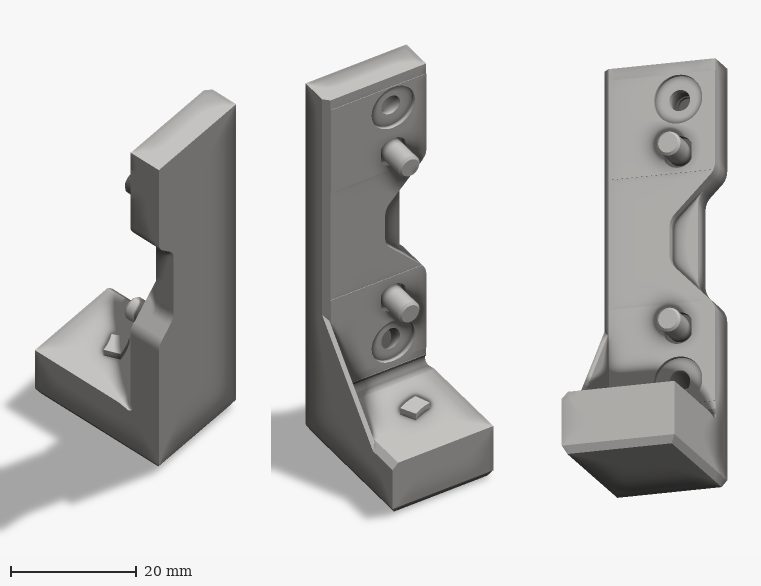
import cadquery as cq
import math

length_x = 26.0
width_y = 19.0
height_z = 70.0

base_height = 10.15
post_thickness = 5.95
post_face_x = length_x - post_thickness
foot_chamfer_height = 1.25
foot_chamfer_inset = 0.7
edge_chamfer = 1.05

relief_radius = 1.0
relief_depth = 0.4
relief_base_run = 2.45
relief_wall_rise = 1.3

rib_thickness = 0.85
rib_foot_x = 6.8
rib_slope = math.radians(49)

pad_relief = 0.1
upper_pad_bottom = 51.45
upper_pad_top = 68.05
lower_pad_bottom = 12.8
lower_pad_top = 29.75

notch_centre_z = 40.25
notch_mouth_half = 11.3
notch_through_depth = 3.65
notch_front_depth = 7.7
notch_front_thickness = 2.25
notch_fillet = 3.0

fitting_y = 6.2
pin_spacing = 29.4
pin_heights = [notch_centre_z - pin_spacing / 2, notch_centre_z + pin_spacing / 2]
pin_diameter = 4.0
pin_tip_diameter = 3.2
pin_tip_length = 0.4
pin_projection = 5.1
pin_socket_depth = 4.2
recess_diameter = 5.25
recess_width = 4.55
recess_depth = 1.2

screw_spacing = 47.05
upper_screw_z = notch_centre_z + screw_spacing / 2
lower_screw_z = notch_centre_z - screw_spacing / 2
spot_diameter = 8.1
spot_depth = 0.8
screw_diameter = 3.5
upper_screw_depth = 3.5
pilot_diameter = 3.15
pilot_depth = 4.2
lower_screw_depth = 3.15
lower_screw_tilt = 29.0

tab_height = 1.3
tab_inner_corners = [(7.85, 9.65), (9.1, 6.2)]
tab_outer_corners = [(10.4, 11.0), (11.75, 7.3)]
tab_arc_radius = 11.2


def post_face_plane(y, z):
    """Plane on the post face at (y, z), with its normal pointing into the post."""
    return cq.Plane(origin=(post_face_x, y, z), xDir=(0, 1, 0), normal=(1, 0, 0))


def make_body_blank():
    """L-shaped profile with the relieved inner corner, chamfered all around the foot."""
    relief_floor = base_height - relief_depth
    relief_wall = post_face_x + relief_depth
    arc_centre = (relief_wall - relief_radius, relief_floor + relief_radius)
    arc_offset = relief_radius * math.sqrt(0.5)
    block = (
        cq.Workplane("XZ")
        .moveTo(0, 0)
        .lineTo(length_x, 0)
        .lineTo(length_x, height_z)
        .lineTo(post_face_x, height_z)
        .lineTo(post_face_x, base_height + relief_wall_rise)
        .lineTo(relief_wall, arc_centre[1])
        .threePointArc((arc_centre[0] + arc_offset, arc_centre[1] - arc_offset), (arc_centre[0], relief_floor))
        .lineTo(post_face_x - relief_base_run, base_height)
        .lineTo(0, base_height)
        .close()
        .extrude(-width_y)
    )
    return block.faces("<Z").chamfer(foot_chamfer_inset, foot_chamfer_height)


def make_edge_chamfer_cutter():
    """Bevels along the +Y edges of the base top and the post face."""
    leg = edge_chamfer
    along_base = (
        cq.Workplane("YZ")
        .polyline([(width_y, base_height), (width_y - leg, base_height), (width_y, base_height - leg)])
        .close()
        .extrude(post_face_x + leg)
    )
    along_post = (
        cq.Workplane("XY")
        .workplane(offset=base_height - leg)
        .polyline([(post_face_x, width_y), (post_face_x, width_y - leg), (post_face_x + leg, width_y)])
        .close()
        .extrude(height_z)
    )
    return along_base.union(along_post)


def make_rib():
    """Triangular gusset along the +Y side, running under the two bevels."""
    leg = edge_chamfer
    slope = math.tan(rib_slope)
    foot_z = base_height - leg
    back_x = post_face_x + leg
    start_x = rib_foot_x - leg / slope
    return (
        cq.Workplane("XZ", origin=(0, width_y - rib_thickness, 0))
        .polyline([(start_x, foot_z), (back_x, foot_z), (back_x, foot_z + (back_x - start_x) * slope)])
        .close()
        .extrude(-rib_thickness)
    )


def make_notch(floor_depth, start_x, thickness):
    """45-degree notch with rounded floor corners and rounded mouth."""
    floor_half = notch_mouth_half - floor_depth
    tangent = notch_fillet * math.tan(math.pi / 8)
    step = tangent * math.sqrt(0.5)
    mid_in = notch_fillet * (1 - math.cos(math.pi / 8))
    mid_along = notch_fillet * math.sin(math.pi / 8)
    mouth_start = (0, notch_mouth_half + tangent)
    mouth_mid = (mid_in, mouth_start[1] - mid_along)
    mouth_end = (step, notch_mouth_half - step)
    floor_start = (floor_depth - step, floor_half + step)
    floor_end = (floor_depth, floor_half - tangent)
    floor_mid = (floor_depth - mid_in, floor_end[1] + mid_along)

    def low(point):
        return (point[0], -point[1])

    return (
        cq.Workplane(cq.Plane(origin=(start_x, 0, notch_centre_z), xDir=(0, 1, 0), normal=(1, 0, 0)))
        .moveTo(*low(mouth_start))
        .threePointArc(low(mouth_mid), low(mouth_end))
        .lineTo(*low(floor_start))
        .threePointArc(low(floor_mid), low(floor_end))
        .lineTo(*floor_end)
        .threePointArc(floor_mid, floor_start)
        .lineTo(*mouth_end)
        .threePointArc(mouth_mid, mouth_start)
        .close()
        .extrude(thickness)
    )


def make_pad_relief(bottom, top):
    """Thin cut that lowers the post face between two heights."""
    return cq.Workplane("XY").box(pad_relief, width_y, top - bottom, centered=False).translate(
        (post_face_x, 0, bottom)
    )


def make_pin_recess(z):
    """Round recess with two flat sides, and the pin socket below it."""
    plane = post_face_plane(fitting_y, z)
    disc = cq.Workplane(plane).circle(recess_diameter / 2).extrude(recess_depth)
    flats = cq.Workplane(plane).rect(recess_width, recess_diameter).extrude(recess_depth)
    socket = cq.Workplane(plane).circle(pin_diameter / 2).extrude(pin_socket_depth)
    return disc.intersect(flats).union(socket)


def make_screw_hole(z, depth, tilt):
    """Shallow spot face and a flat-bottomed hole, tilted downwards by the given angle."""
    plane = post_face_plane(fitting_y, z)
    floor_x = post_face_x + spot_depth
    spot = cq.Workplane(plane).circle(spot_diameter / 2).extrude(spot_depth)
    hole = (
        cq.Workplane(plane)
        .workplane(offset=spot_depth - screw_diameter)
        .circle(screw_diameter / 2)
        .extrude(screw_diameter + depth)
        .rotate((floor_x, fitting_y, z), (floor_x, fitting_y + 0.7, z), tilt)
    )
    return spot.union(hole)


def make_pilot_hole(z):
    """Narrower end of a straight screw hole, measured from the spot face."""
    plane = post_face_plane(fitting_y, z)
    return cq.Workplane(plane).workplane(offset=spot_depth).circle(pilot_diameter / 2).extrude(pilot_depth)


def bulged_midpoint(start, end):
    """Middle point of a tab arc that bulges towards +X."""
    chord_x = end[0] - start[0]
    chord_y = end[1] - start[1]
    chord = math.hypot(chord_x, chord_y)
    bulge = tab_arc_radius - math.sqrt(tab_arc_radius**2 - chord**2 / 4)
    return (
        (start[0] + end[0]) / 2 - bulge * chord_y / chord,
        (start[1] + end[1]) / 2 + bulge * chord_x / chord,
    )


def make_tab():
    """Low curved tab standing on the base."""
    inner_top, inner_bottom = tab_inner_corners
    outer_top, outer_bottom = tab_outer_corners
    return (
        cq.Workplane("XY")
        .workplane(offset=base_height)
        .moveTo(*inner_top)
        .lineTo(*outer_top)
        .threePointArc(bulged_midpoint(outer_top, outer_bottom), outer_bottom)
        .lineTo(*inner_bottom)
        .threePointArc(bulged_midpoint(inner_top, inner_bottom), inner_top)
        .close()
        .extrude(tab_height)
    )


def make_bracket():
    """Complete bracket: base, post, rib and tab with every cut applied."""
    bracket = make_body_blank().cut(make_edge_chamfer_cutter()).union(make_rib()).union(make_tab())
    bracket = bracket.cut(make_notch(notch_through_depth, post_face_x, post_thickness))
    bracket = bracket.cut(make_notch(notch_front_depth, post_face_x, notch_front_thickness))
    bracket = bracket.cut(make_pad_relief(base_height + relief_wall_rise, lower_pad_bottom))
    bracket = bracket.cut(make_pad_relief(lower_pad_top, upper_pad_bottom))
    bracket = bracket.cut(make_pad_relief(upper_pad_top, height_z))
    for z in pin_heights:
        bracket = bracket.cut(make_pin_recess(z))
    bracket = bracket.cut(make_screw_hole(upper_screw_z, upper_screw_depth, 0))
    bracket = bracket.cut(make_pilot_hole(upper_screw_z))
    return bracket.cut(make_screw_hole(lower_screw_z, lower_screw_depth, lower_screw_tilt))


def make_pin(z):
    """Dowel pin with a chamfered tip, seated in its socket."""
    tip_chamfer = (pin_diameter - pin_tip_diameter) / 2
    return (
        cq.Workplane(post_face_plane(fitting_y, z))
        .workplane(offset=-pin_projection)
        .circle(pin_diameter / 2)
        .extrude(pin_projection + pin_socket_depth)
        .faces("<X")
        .chamfer(pin_tip_length, tip_chamfer)
    )


bracket = make_bracket()
pins = [make_pin(z) for z in pin_heights]

result = cq.Compound.makeCompound([bracket.val(), *[pin.val() for pin in pins]])